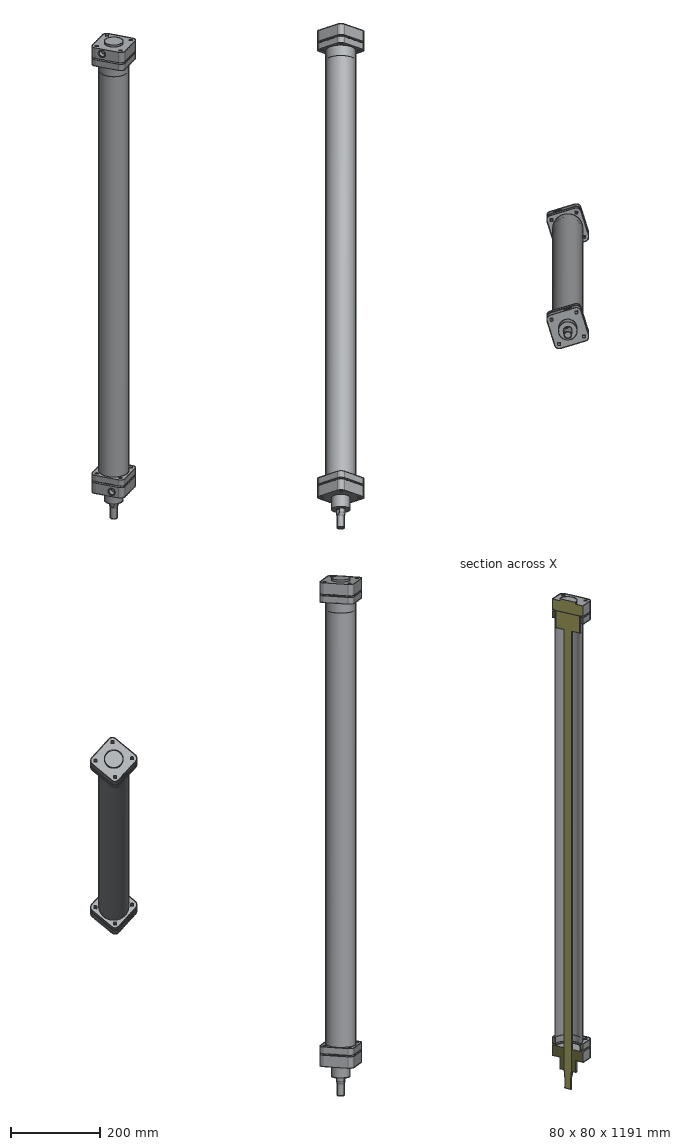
import cadquery as cq

total_length = 1191.0
rod_stickout = 44.0
front_boss_height = 29.0
rear_boss_height = 5.0
cap_thickness = 26.0
flange_gap = 4.0
flange_thickness = 15.0
piston_length = 43.0

block_width = 80.0
corner_radius = 11.0
bolt_spacing = 58.0
bolt_hole_diameter = 7.0
boss_diameter = 42.0

tube_outer_diameter = 68.0
tube_bore = 63.0

rod_diameter = 20.0
thread_diameter = 17.0
thread_length = 27.0
tip_chamfer = 1.0
taper_length = 7.0
flats_width = 18.0
flats_length = 14.0

port_offset = 12.0
port_diameter = 14.0
port_chamfer = 1.8
port_depth = 14.0
port_to_outer_face = 12.0

front_boss_bottom = rod_stickout
front_cap_bottom = front_boss_bottom + front_boss_height
front_cap_top = front_cap_bottom + cap_thickness
front_flange_bottom = front_cap_top + flange_gap
rear_cap_top = total_length - rear_boss_height
rear_cap_bottom = rear_cap_top - cap_thickness
rear_flange_bottom = rear_cap_bottom - flange_gap - flange_thickness
taper_top = thread_length + taper_length
piston_bottom = rear_cap_bottom - piston_length


def cylinder(diameter, bottom, top):
    """Solid cylinder on the Z axis."""
    return cq.Workplane("XY", origin=(0, 0, bottom)).circle(diameter / 2).extrude(top - bottom)


def square_block(bottom, thickness):
    """Square end piece with rounded corners and four through bolt holes."""
    return (
        cq.Workplane("XY", origin=(0, 0, bottom))
        .rect(block_width, block_width)
        .extrude(thickness)
        .edges("|Z")
        .fillet(corner_radius)
        .faces(">Z")
        .workplane()
        .rect(bolt_spacing, bolt_spacing, forConstruction=True)
        .vertices()
        .hole(bolt_hole_diameter)
    )


def port(x, z):
    """Cutter for a blind port with a chamfered mouth, going in from the -Y face."""
    mouth = cq.Workplane("XZ", origin=(x, -block_width / 2, z))
    bore = mouth.circle(port_diameter / 2).extrude(-port_depth)
    countersink = (
        mouth.circle(port_diameter / 2 + port_chamfer)
        .workplane(offset=-port_chamfer)
        .circle(port_diameter / 2)
        .loft()
    )
    return bore.union(countersink)


def make_cap(block_bottom, boss_bottom, boss_top, port_x, port_z):
    """End cap: square block with a round boss on its outer face and one air port."""
    return (
        square_block(block_bottom, cap_thickness)
        .union(cylinder(boss_diameter, boss_bottom, boss_top))
        .cut(port(port_x, port_z))
    )


def make_flange(bottom):
    """Square flange that fits around the tube, a small gap away from the cap."""
    top = bottom + flange_thickness
    return square_block(bottom, flange_thickness).cut(cylinder(tube_outer_diameter, bottom, top))


def make_tube():
    """Plain tube reaching from cap to cap through both flanges."""
    outside = cylinder(tube_outer_diameter, front_cap_top, rear_cap_bottom)
    return outside.cut(cylinder(tube_bore, front_cap_top, rear_cap_bottom))


def make_rod():
    """Piston and rod in one piece, retracted so that the piston rests on the rear cap."""
    thread = cylinder(thread_diameter, 0, thread_length).faces("<Z").chamfer(tip_chamfer)
    taper = (
        cq.Workplane("XY", origin=(0, 0, thread_length))
        .circle(thread_diameter / 2)
        .workplane(offset=taper_length)
        .circle(rod_diameter / 2)
        .loft()
    )
    shaft = cylinder(rod_diameter, taper_top, piston_bottom)
    piston = cylinder(tube_bore, piston_bottom, rear_cap_bottom)
    piston_rod = shaft.union(taper).union(thread).union(piston)
    for side in (-1, 1):
        cutter_center = side * (flats_width + rod_diameter) / 2
        beyond_flat = (
            cq.Workplane("XY", origin=(0, cutter_center, thread_length))
            .rect(rod_diameter, rod_diameter)
            .extrude(flats_length)
        )
        piston_rod = piston_rod.cut(beyond_flat)
    return piston_rod


rod = make_rod()
tube = make_tube()
front_cap = make_cap(
    front_cap_bottom,
    front_boss_bottom,
    front_cap_bottom,
    port_offset,
    front_cap_bottom + port_to_outer_face,
).cut(cylinder(rod_diameter, front_boss_bottom, front_cap_top))
rear_cap = make_cap(
    rear_cap_bottom,
    rear_cap_top,
    total_length,
    -port_offset,
    rear_cap_top - port_to_outer_face,
)
flanges = [make_flange(bottom) for bottom in (front_flange_bottom, rear_flange_bottom)]

result = cq.Compound.makeCompound(
    [rod.val(), tube.val(), front_cap.val(), rear_cap.val(), *[flange.val() for flange in flanges]]
)